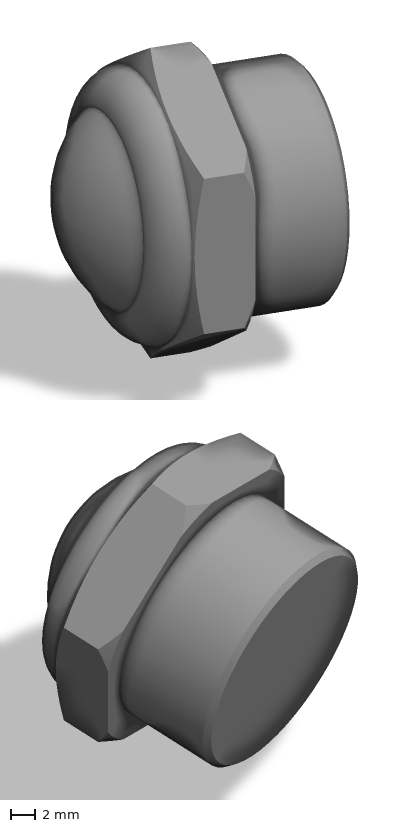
import cadquery as cq
import math

hex_corner_diameter = 27.7
barrel_diameter = 20.95
barrel_length = 9.1
barrel_chamfer = 0.5
hex_thickness = 5.51
hex_rear_chamfer = 1.03
hex_front_chamfer_depth = 0.97
collar_diameter = 23.4
collar_height = 3.02
dome_base_radius = 8.53
dome_height = 4.02

hex_corner_radius = hex_corner_diameter / 2
collar_radius = collar_diameter / 2
hex_rear_y = 0.0
hex_front_y = hex_rear_y - hex_thickness
collar_front_y = hex_front_y - collar_height
dome_tip_y = collar_front_y - dome_height


def revolve_about_y(profile):
    """Turn a closed XY half-profile around the Y axis."""
    return profile.close().revolve(360, (0, 0, 0), (0, 1, 0))


def make_barrel():
    barrel = cq.Workplane("XZ", origin=(0, hex_rear_y, 0)).circle(barrel_diameter / 2).extrude(-barrel_length)
    return barrel.faces(">Y").chamfer(barrel_chamfer)


def make_hex():
    """Hexagon with corners on Z, bevelled by a cone at each end."""
    prism = (
        cq.Workplane("XZ", origin=(0, hex_rear_y, 0))
        .polygon(6, hex_corner_diameter)
        .extrude(hex_thickness)
        .rotate((0, 0, 0), (0, 1, 0), 90)
    )
    bevel_envelope = revolve_about_y(
        cq.Workplane("XY")
        .moveTo(0, hex_rear_y)
        .lineTo(hex_corner_radius - hex_rear_chamfer, hex_rear_y)
        .lineTo(hex_corner_radius, hex_rear_y - hex_rear_chamfer)
        .lineTo(hex_corner_radius, hex_front_y + hex_front_chamfer_depth)
        .lineTo(collar_radius, hex_front_y)
        .lineTo(0, hex_front_y)
    )
    return prism.intersect(bevel_envelope)


def make_collar_and_dome():
    """Collar with a fully rounded front edge, carrying a spherical dome."""
    arc_offset = collar_height * math.sqrt(0.5)
    sphere_radius = (dome_base_radius**2 + dome_height**2) / (2 * dome_height)
    half_angle = math.asin(dome_base_radius / sphere_radius) / 2
    dome_mid = (
        sphere_radius * math.sin(half_angle),
        dome_tip_y + sphere_radius * (1 - math.cos(half_angle)),
    )
    return revolve_about_y(
        cq.Workplane("XY")
        .moveTo(0, hex_front_y)
        .lineTo(collar_radius, hex_front_y)
        .threePointArc(
            (collar_radius - collar_height + arc_offset, hex_front_y - arc_offset),
            (collar_radius - collar_height, collar_front_y),
        )
        .lineTo(dome_base_radius, collar_front_y)
        .threePointArc(dome_mid, (0, dome_tip_y))
    )


result = make_hex().union(make_barrel()).union(make_collar_and_dome())